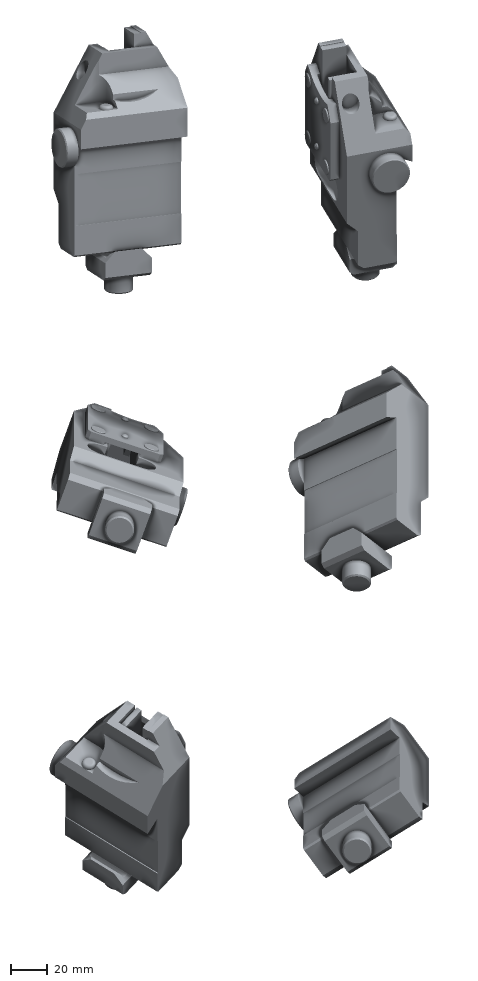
import cadquery as cq
import math

SLOPE = math.tan(math.radians(60))

BODY_WIDTH = 64.0
HEAD_DEPTH = 38.0
TOP_DEPTH = 19.0
TAB_DEPTH = 14.0
BODY_TOP = 112.0
TAB_TOP = 120.0
STEM_FRONT = 6.5
STEM_BACK = 29.2
RELIEF_BACK = 28.7
RELIEF_BOTTOM = 18.0
RELIEF_TOP = 47.7
STEP_Z = 31.5
BOTTOM_CHAMFER_X = 3.3
BOTTOM_CHAMFER_Z = 2.6
BACK_CHAMFER = 1.0
LIP_Z = 64.4
LIP_ANGLE = 28.0
BACK_SLOPE_LOW = 81.0
TAB_PEAK_Y = 49.3
RIGHT_SHOULDER_Y = 21.0

SLOT_Y_MIN = 26.2
SLOT_Y_MAX = 46.2
SLOT_DEPTH = 14.8
BAR_Y_MIN = 42.2
BAR_TOP = 119.5
BAR_STEP_Z = 60.0
BAR_TAIL_Y_MIN = 44.5
WINDOW_LENGTH = 40.0
WINDOW_HEIGHT = 16.0
WINDOW_DEPTH = 18.0
CENTER_Y = 36.1
WINDOW_Z = 41.0
BLADE_Y_MIN = 26.9
BLADE_Y_MAX = 30.1
BLADE_FRONT = -1.0
BLADE_TOP = 109.4

PIVOT_X = 7.0
PIVOT_Z = 100.2
PIVOT_DIAMETER = 8.0
CROSS_HOLE_DIAMETER = 10.0
CROSS_HOLE_END = 17.5

POCKET_X = 18.2
POCKET_Y = 23.4
POCKET_FLOOR = 84.0
POCKET_RADIUS = 8.0
SCREW_X = 31.1
SCREW_Y = 18.0
SCREW_DIAMETER = 8.0
SCREW_HEIGHT = 2.1
SCREW_ROUNDING = 1.9
WHEEL_X = 28.3
WHEEL_Y = 33.0
WHEEL_RADIUS = 39.0
WHEEL_BOTTOM = 86.5

PLATE_THICKNESS = 5.0
PLATE_Y_MIN = 13.5
PLATE_Y_MAX = 57.6
PLATE_BOTTOM = 51.0
PLATE_TOP = 104.0
PLATE_CHAMFER = 2.0
PLATE_LEFT_Z = 97.2
PLATE_RIGHT_Z = 90.2
PLATE_RIGHT_TOP = 99.2
PLATE_FLAT_Y = 51.6
PLATE_ARC_Y = 30.0
PLATE_ARC_LOW = 97.6
PLATE_GROOVE_DEPTH = 1.7
PLATE_GROOVE_Y_MIN = 25.8
PLATE_GROOVE_Y_MAX = 46.6

HEAD_DIAMETER = 8.5
HEAD_HEIGHT = 0.8
HEAD_CHAMFER = 0.25
HEAD_PITCH = 31.0
HEAD_LOW_Z = 57.0
HEAD_HIGH_Z = {1: 95.0, -1: 91.0}
PIN_DIAMETER = 4.0
PIN_HEIGHT = 1.5
PIN_CHAMFER = 0.8
PIN_SHANK = 3.0
PIN_BACK = -1.2
PIN_Z = (61.0, 91.0)

KNOB_X = 23.5
KNOB_Z = 62.0
KNOB_DIAMETER = 22.0
KNOB_HEIGHT = 7.0
KNOB_CHAMFER = 0.6

FOOT_CENTER_X = 20.75
FOOT_CENTER_Y = 30.1
FOOT_LENGTH = 27.5
FOOT_WIDTH = 28.0
FOOT_TOP = 2.3
FOOT_FLOOR = -1.8
FOOT_BOTTOM = -14.2
FOOT_CHAMFER_X = 2.5
FOOT_CHAMFER_Z = 2.0
FOOT_SIDE_CHAMFER = 6.0
FOOT_JAW_RUN = 3.0
FOOT_JAW_RADIUS = 1.8
SHANK_DIAMETER = 10.0
FOOT_KNOB_DIAMETER = 16.0
OVERALL_HEIGHT = 144.45
FOOT_KNOB_BOTTOM = TAB_TOP - OVERALL_HEIGHT
FOOT_KNOB_CHAMFER = 0.8


def box(x0, x1, y0, y1, z0, z1):
    return cq.Workplane("XY").box(x1 - x0, y1 - y0, z1 - z0, centered=False).translate((x0, y0, z0))


def disc_x(y, z, diameter, x0, x1):
    """Cylinder along X."""
    return cq.Workplane("YZ", origin=(x0, y, z)).circle(diameter / 2).extrude(x1 - x0)


def disc_y(x, z, diameter, y0, y1):
    """Cylinder along Y."""
    return cq.Workplane("XZ", origin=(x, y0, z)).circle(diameter / 2).extrude(y0 - y1)


def disc_z(x, y, diameter, z0, z1):
    """Cylinder along Z."""
    return cq.Workplane("XY", origin=(x, y, z0)).circle(diameter / 2).extrude(z1 - z0)


def make_body():
    back_slope_rise = HEAD_DEPTH - TOP_DEPTH
    lip_rise = (HEAD_DEPTH - STEM_BACK) * math.tan(math.radians(LIP_ANGLE))
    side_profile = (
        cq.Workplane("XZ")
        .moveTo(0, STEP_Z)
        .lineTo(0, TAB_TOP)
        .lineTo(TAB_DEPTH, TAB_TOP)
        .lineTo(TAB_DEPTH, BODY_TOP)
        .lineTo(TOP_DEPTH, BODY_TOP)
        .lineTo(TOP_DEPTH, BACK_SLOPE_LOW + back_slope_rise)
        .lineTo(HEAD_DEPTH, BACK_SLOPE_LOW)
        .lineTo(HEAD_DEPTH, LIP_Z)
        .lineTo(STEM_BACK, LIP_Z + lip_rise)
        .lineTo(STEM_BACK, RELIEF_TOP)
        .lineTo(RELIEF_BACK, RELIEF_TOP)
        .lineTo(RELIEF_BACK, RELIEF_BOTTOM)
        .lineTo(STEM_BACK, RELIEF_BOTTOM)
        .lineTo(STEM_BACK, BACK_CHAMFER)
        .lineTo(STEM_BACK - BACK_CHAMFER, 0)
        .lineTo(STEM_FRONT + BOTTOM_CHAMFER_X, 0)
        .lineTo(STEM_FRONT, BOTTOM_CHAMFER_Z)
        .lineTo(STEM_FRONT, STEP_Z - STEM_FRONT)
        .close()
        .extrude(-BODY_WIDTH)
    )
    face_outline = (
        cq.Workplane("YZ")
        .moveTo(0, 0)
        .lineTo(BODY_WIDTH, 0)
        .lineTo(BODY_WIDTH, TAB_TOP - (BODY_WIDTH - TAB_PEAK_Y) * SLOPE)
        .lineTo(TAB_PEAK_Y, TAB_TOP)
        .lineTo(SLOT_Y_MAX, TAB_TOP)
        .lineTo(SLOT_Y_MAX, BODY_TOP)
        .lineTo(RIGHT_SHOULDER_Y, BODY_TOP)
        .lineTo(0, BODY_TOP - RIGHT_SHOULDER_Y * SLOPE)
        .close()
        .extrude(HEAD_DEPTH)
    )
    return side_profile.intersect(face_outline)


def make_face_cuts():
    """Vertical slot, oblong window and the blind cross hole."""
    slot = box(0, SLOT_DEPTH, SLOT_Y_MIN, SLOT_Y_MAX, WINDOW_Z, TAB_TOP)
    window = (
        cq.Workplane("YZ", origin=(0, CENTER_Y, WINDOW_Z))
        .slot2D(WINDOW_LENGTH, WINDOW_HEIGHT)
        .extrude(WINDOW_DEPTH)
    )
    cross_hole = disc_y(PIVOT_X, PIVOT_Z, CROSS_HOLE_DIAMETER, 0, CROSS_HOLE_END)
    return slot.union(window).union(cross_hole)


def make_slot_parts():
    """Guide bar on the slot wall, and the blade with its pivot."""
    bar = box(0, TAB_DEPTH, BAR_Y_MIN, SLOT_Y_MAX, BAR_STEP_Z, BAR_TOP)
    tail_bottom = WINDOW_Z + WINDOW_HEIGHT / 2
    tail = box(0, TAB_DEPTH, BAR_TAIL_Y_MIN, SLOT_Y_MAX, tail_bottom, BAR_STEP_Z)
    blade_bottom = 2 * PIVOT_Z - BLADE_TOP
    blade = box(BLADE_FRONT, TAB_DEPTH, BLADE_Y_MIN, BLADE_Y_MAX, blade_bottom, BLADE_TOP)
    pivot = disc_y(PIVOT_X, PIVOT_Z, PIVOT_DIAMETER, SLOT_Y_MIN, BLADE_Y_MAX)
    return bar.union(tail).union(blade).union(pivot)


def make_back_cuts():
    """Screw pocket and the round wheel clearance in the back slope."""
    pocket = box(POCKET_X, HEAD_DEPTH, 0, POCKET_Y, POCKET_FLOOR, BODY_TOP)
    pocket = pocket.edges("|Z and <X and >Y").fillet(POCKET_RADIUS)
    wheel = disc_x(WHEEL_Y, WHEEL_BOTTOM + WHEEL_RADIUS, 2 * WHEEL_RADIUS, WHEEL_X, HEAD_DEPTH)
    return pocket.union(wheel)


def make_pocket_screw():
    screw = disc_z(SCREW_X, SCREW_Y, SCREW_DIAMETER, POCKET_FLOOR, POCKET_FLOOR + SCREW_HEIGHT)
    return screw.faces(">Z").fillet(SCREW_ROUNDING)


def make_plate():
    plate = (
        cq.Workplane("YZ", origin=(-PLATE_THICKNESS, 0, 0))
        .moveTo(PLATE_Y_MIN + PLATE_CHAMFER, PLATE_BOTTOM)
        .lineTo(PLATE_Y_MAX - PLATE_CHAMFER, PLATE_BOTTOM)
        .lineTo(PLATE_Y_MAX, PLATE_BOTTOM + PLATE_CHAMFER)
        .lineTo(PLATE_Y_MAX, PLATE_LEFT_Z)
        .lineTo(PLATE_Y_MAX - (PLATE_TOP - PLATE_LEFT_Z) / SLOPE, PLATE_TOP)
        .lineTo(PLATE_FLAT_Y, PLATE_TOP)
        .threePointArc(
            (PLATE_ARC_Y, PLATE_ARC_LOW),
            (PLATE_Y_MIN + (PLATE_RIGHT_TOP - PLATE_RIGHT_Z) / SLOPE, PLATE_RIGHT_TOP),
        )
        .lineTo(PLATE_Y_MIN, PLATE_RIGHT_Z)
        .lineTo(PLATE_Y_MIN, PLATE_BOTTOM + PLATE_CHAMFER)
        .close()
        .extrude(PLATE_THICKNESS)
    )
    groove = box(-PLATE_GROOVE_DEPTH, 0, PLATE_GROOVE_Y_MIN, PLATE_GROOVE_Y_MAX, PLATE_BOTTOM, PLATE_TOP)
    return plate.cut(groove)


def make_plate_fasteners():
    face = -PLATE_THICKNESS
    fasteners = cq.Workplane("XY")
    for side, high_z in HEAD_HIGH_Z.items():
        for z in (HEAD_LOW_Z, high_z):
            head = disc_x(CENTER_Y + side * HEAD_PITCH / 2, z, HEAD_DIAMETER, face - HEAD_HEIGHT, face)
            fasteners = fasteners.add(head.faces("<X").chamfer(HEAD_CHAMFER))
    for z in PIN_Z:
        pin = disc_x(CENTER_Y, z, PIN_DIAMETER, face - PIN_HEIGHT, face)
        pin = pin.faces("<X").chamfer(PIN_CHAMFER)
        fasteners = fasteners.add(pin.union(disc_x(CENTER_Y, z, PIN_SHANK, face, PIN_BACK)))
    return fasteners.combine()


def make_side_knob():
    knob = disc_y(KNOB_X, KNOB_Z, KNOB_DIAMETER, -KNOB_HEIGHT, 0)
    return knob.faces("<Y").chamfer(KNOB_CHAMFER)


def make_foot():
    half_length = FOOT_LENGTH / 2
    jaw_x = half_length - FOOT_JAW_RUN
    floor_x = jaw_x - FOOT_JAW_RADIUS
    side_profile = (
        cq.Workplane("XZ", origin=(FOOT_CENTER_X, FOOT_CENTER_Y - FOOT_WIDTH / 2, 0))
        .moveTo(-half_length + FOOT_CHAMFER_X, FOOT_BOTTOM)
        .lineTo(-half_length, FOOT_BOTTOM + FOOT_CHAMFER_Z)
        .lineTo(-half_length, FOOT_TOP)
        .lineTo(-jaw_x, 0)
        .radiusArc((-floor_x, FOOT_FLOOR), -FOOT_JAW_RADIUS)
        .lineTo(floor_x, FOOT_FLOOR)
        .radiusArc((jaw_x, 0), -FOOT_JAW_RADIUS)
        .lineTo(half_length, FOOT_TOP)
        .lineTo(half_length, FOOT_BOTTOM + FOOT_CHAMFER_Z)
        .lineTo(half_length - FOOT_CHAMFER_X, FOOT_BOTTOM)
        .close()
        .extrude(-FOOT_WIDTH)
    )
    half_width = FOOT_WIDTH / 2
    face_outline = (
        cq.Workplane("YZ", origin=(FOOT_CENTER_X, FOOT_CENTER_Y, 0))
        .moveTo(-half_width, FOOT_BOTTOM)
        .lineTo(-half_width, FOOT_TOP - FOOT_SIDE_CHAMFER)
        .lineTo(-half_width + FOOT_SIDE_CHAMFER, FOOT_TOP)
        .lineTo(half_width - FOOT_SIDE_CHAMFER, FOOT_TOP)
        .lineTo(half_width, FOOT_TOP - FOOT_SIDE_CHAMFER)
        .lineTo(half_width, FOOT_BOTTOM)
        .close()
        .extrude(half_length, both=True)
    )
    shank = disc_z(FOOT_CENTER_X, FOOT_CENTER_Y, SHANK_DIAMETER, FOOT_FLOOR, 0)
    knob = disc_z(FOOT_CENTER_X, FOOT_CENTER_Y, FOOT_KNOB_DIAMETER, FOOT_KNOB_BOTTOM, FOOT_BOTTOM)
    knob = knob.faces("<Z").chamfer(FOOT_KNOB_CHAMFER)
    return side_profile.intersect(face_outline).union(shank).union(knob)


body = make_body().cut(make_face_cuts()).cut(make_back_cuts())
for piece in (
    make_slot_parts(),
    make_pocket_screw(),
    make_plate(),
    make_plate_fasteners(),
    make_side_knob(),
    make_foot(),
):
    body = body.union(piece)

result = body